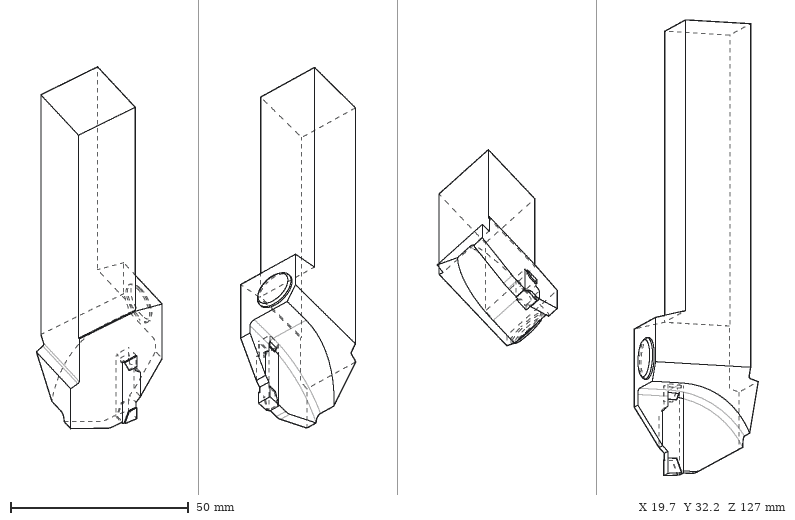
import cadquery as cq
import math

total_height = 127.0
shank_width = 18.9
shank_depth = 19.3

head_right = 19.3
head_top = 43.8
head_back = 28.2
head_back_top = 41.4
lip_front = -2.9
lip_root = 25.9
lip_edge = 25.1
lip_fillet = 0.6
jaw_corner = 19.0
blade_bottom = 1.0
blade_front_bottom = 8.8
blade_toe = 10.4
toe_fillet = 3.8

flank_top = 28.7
flank_angle = 60.0

blade_left = 16.0
relief_top = 23.6
relief_radius = 26.7
relief_fillet = 1.5
cut_margin = 6.4

screw_diameter = 11.8
screw_x = 7.1
screw_z = 30.9
screw_height = 1.1
screw_chamfer = 0.6

insert_length = 25.7
insert_seat = 14.7
rake_y = shank_depth
insert_crown = 1.5
crown_start = 6.4
end_relief = 0.4
tip_side = 0.4
tip_length = 4.5
tip_back_depth = 2.5
tip_depth = 4.0


def prism(points, x_start, x_end):
    """Extrude a closed (Y, Z) outline along X."""
    return cq.Workplane("YZ", origin=(x_start, 0, 0)).polyline(points).close().extrude(x_end - x_start)


def make_insert():
    far_end = insert_length
    body = prism(
        [
            (insert_seat, end_relief),
            (rake_y, 0),
            (rake_y, crown_start),
            (rake_y + insert_crown, crown_start + insert_crown),
            (rake_y + insert_crown, far_end - crown_start - insert_crown),
            (rake_y, far_end - crown_start),
            (rake_y, far_end),
            (insert_seat, far_end - end_relief),
        ],
        blade_left,
        head_right,
    )
    tip_end_relief = end_relief * tip_depth / (rake_y - insert_seat)
    tip_outline = [
        (rake_y, 0),
        (rake_y, tip_length),
        (rake_y - tip_back_depth, tip_length),
        (rake_y - tip_depth, 2 * tip_end_relief),
        (rake_y - tip_depth, tip_end_relief),
    ]
    tip = prism(tip_outline, blade_left - tip_side, head_right + tip_side)
    opposite_tip = tip.mirror("XY", (0, 0, insert_length / 2))
    return body.union(tip).union(opposite_tip)


def make_shank():
    return (
        cq.Workplane("XY", origin=(0, 0, head_top))
        .rect(shank_width, shank_depth, centered=False)
        .extrude(total_height - head_top)
    )


def make_head():
    jaw_tip_y = rake_y + insert_crown
    jaw_tip_z = crown_start + insert_crown
    head = prism(
        [
            (0, head_top),
            (0, lip_root),
            (lip_front, lip_edge),
            (lip_front, blade_front_bottom),
            (blade_toe, blade_bottom),
            (insert_seat, blade_bottom),
            (insert_seat, jaw_tip_z),
            (jaw_tip_y, jaw_tip_z),
            (head_back, jaw_corner),
            (head_back, head_back_top),
            (shank_depth, head_top),
        ],
        0,
        head_right,
    )
    middle_x = head_right / 2
    head = head.edges(cq.NearestToPointSelector((middle_x, 0, lip_root))).fillet(lip_fillet)
    return head.edges(cq.NearestToPointSelector((middle_x, blade_toe, blade_bottom))).fillet(toe_fillet)


def make_flank_cutter():
    run = flank_top / math.tan(math.radians(flank_angle))
    return (
        cq.Workplane("XZ", origin=(0, head_back + cut_margin, 0))
        .polyline([(0, flank_top), (run, 0), (0, 0)])
        .close()
        .extrude(head_back - lip_front + 2 * cut_margin)
    )


def make_relief_cutter():
    """Space beside the blade: an arched roof in front of the cutting face, flat behind it."""
    centre_z = relief_top - relief_radius

    def arch_point(y):
        return (y, centre_z + math.sqrt(relief_radius**2 - (rake_y - y) ** 2))

    arch_front = lip_front - 1.3
    cutter = (
        cq.Workplane("YZ", origin=(-cut_margin, 0, 0))
        .moveTo(head_back + cut_margin, relief_top)
        .lineTo(rake_y, relief_top)
        .threePointArc(arch_point((rake_y + arch_front) / 2), arch_point(arch_front))
        .lineTo(arch_front, -cut_margin)
        .lineTo(head_back + cut_margin, -cut_margin)
        .close()
        .extrude(blade_left + cut_margin)
    )
    roof_edges = cutter.faces(">X").edges(cq.selectors.BoxSelector(
        (blade_left - 1.3, lip_front - cut_margin, blade_front_bottom),
        (blade_left + 1.3, head_back + cut_margin, relief_top + 1.3),
    ))
    return roof_edges.fillet(relief_fillet)


def make_screw_head():
    return (
        cq.Workplane("XZ", origin=(screw_x, head_back, screw_z))
        .circle(screw_diameter / 2)
        .extrude(-screw_height)
        .faces(">Y")
        .chamfer(screw_chamfer)
    )


def make_holder(insert):
    holder = make_head().cut(make_flank_cutter()).cut(make_relief_cutter())
    return holder.union(make_shank()).union(make_screw_head()).cut(insert)


insert = make_insert()
holder = make_holder(insert)
result = cq.Compound.makeCompound([holder.val(), insert.val()])